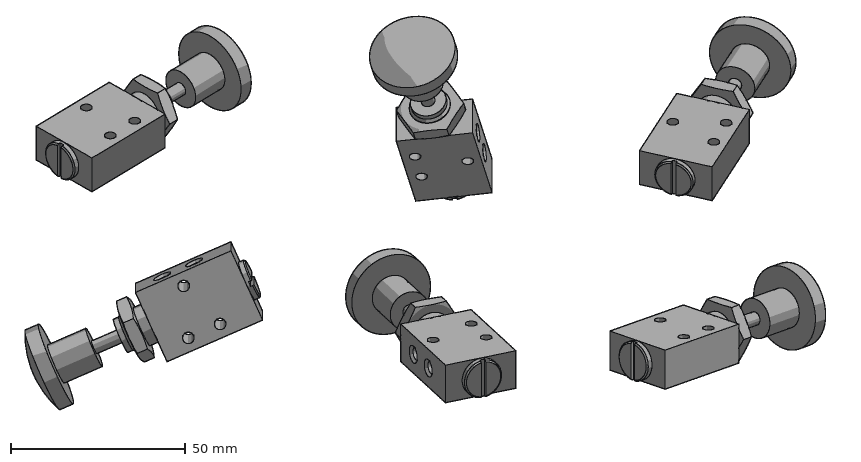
import cadquery as cq
import math


plug_length = 1.9
block_length = 30.0
neck_length = 7.15
neck_chamfer_length = 0.75
collar_length = 1.65
rod_length = 8.35
stem_length = 12.0
rim_length = 4.2
total_length = 68.9

block_width = 22.3
block_height = 12.0
barrel_diameter = 12.0
collar_diameter = 10.5
rod_diameter = 4.0
knob_diameter = 25.0

plug_diameter = 11.8
plug_face_diameter = 10.9
plug_chamfer_length = 0.4
slot_width = 1.45
slot_depth = 1.0

hole_diameter = 3.3
hole_offset = 7.2
hole_spacing = 10.0
hole_pair_middle = 18.5
port_diameter = 3.7
port_mouth_diameter = 5.3
port_chamfer_depth = (port_mouth_diameter - port_diameter) / 2
port_depth = 4.0

nut_start = 34.9
nut_thickness = 4.0
nut_across_flats = 17.0
nut_face_diameter = 16.7
nut_chamfer_angle = 15.0

block_end = plug_length + block_length
neck_end = block_end + neck_length
collar_start = neck_end + neck_chamfer_length
collar_end = collar_start + collar_length
rod_end = collar_end + rod_length
stem_end = rod_end + stem_length
rim_end = stem_end + rim_length
hole_stations = [hole_pair_middle - hole_spacing / 2, hole_pair_middle + hole_spacing / 2]


def cylinder(diameter, start, end):
    """Solid cylinder on the Y axis between two stations."""
    plane = cq.Workplane("XZ", origin=(0, start, 0))
    return plane.circle(diameter / 2).extrude(start - end)


def make_block():
    """Rectangular valve block with mounting holes and countersunk ports."""
    block_middle = plug_length + block_length / 2
    block = cq.Workplane("XY").box(block_width, block_length, block_height)
    block = block.translate((0, block_middle, 0))

    hole_points = [(-hole_offset, hole_pair_middle)]
    hole_points += [(hole_offset, y) for y in hole_stations]
    holes = cq.Workplane("XY").pushPoints(hole_points).circle(hole_diameter / 2)
    block = block.cut(holes.extrude(block_height / 2, both=True))

    for y in hole_stations:
        block = block.cut(make_port_cutter(y))
    return block


def make_port_cutter(station):
    """Blind bore with a conical mouth, entering the block from its -X side."""
    profile = [
        (0, 0),
        (0, port_mouth_diameter / 2),
        (port_chamfer_depth, port_diameter / 2),
        (port_depth, port_diameter / 2),
        (port_depth, 0),
    ]
    cutter = cq.Workplane("XY").polyline(profile).close().revolve(360, (0, 0, 0), (1, 0, 0))
    return cutter.translate((-block_width / 2, station, 0))


def make_plug():
    """Chamfered end plug with a screwdriver slot running along Z."""
    profile = [
        (0, 0),
        (plug_face_diameter / 2, 0),
        (plug_diameter / 2, plug_chamfer_length),
        (plug_diameter / 2, plug_length),
        (0, plug_length),
    ]
    plug = cq.Workplane("XY").polyline(profile).close().revolve(360, (0, 0, 0), (0, 1, 0))
    slot = cq.Workplane("XY").box(slot_width, slot_depth, plug_diameter)
    return plug.cut(slot.translate((0, slot_depth / 2, 0)))


def make_neck():
    """Neck that carries the nut, tapering to a narrower collar."""
    profile = [
        (0, block_end),
        (barrel_diameter / 2, block_end),
        (barrel_diameter / 2, neck_end),
        (collar_diameter / 2, collar_start),
        (collar_diameter / 2, collar_end),
        (0, collar_end),
    ]
    return cq.Workplane("XY").polyline(profile).close().revolve(360, (0, 0, 0), (0, 1, 0))


def make_knob():
    """Knob with a cylindrical stem, a flat rim and a domed end."""
    knob_radius = knob_diameter / 2
    dome_height = total_length - rim_end
    dome_radius = (knob_radius**2 + dome_height**2) / (2 * dome_height)
    dome_centre = total_length - dome_radius
    half_angle = math.asin(knob_radius / dome_radius) / 2
    dome_middle = (
        dome_radius * math.sin(half_angle),
        dome_centre + dome_radius * math.cos(half_angle),
    )
    head = (
        cq.Workplane("XY")
        .moveTo(0, stem_end)
        .lineTo(knob_radius, stem_end)
        .lineTo(knob_radius, rim_end)
        .threePointArc(dome_middle, (0, total_length))
        .close()
        .revolve(360, (0, 0, 0), (0, 1, 0))
    )
    return head.union(cylinder(barrel_diameter, rod_end, stem_end))


def make_nut():
    """Hexagonal nut with flats facing Z, both faces chamfered, bored to fit the neck."""
    nut_end = nut_start + nut_thickness
    corner_radius = nut_across_flats / 2 / math.cos(math.pi / 6)
    face_radius = nut_face_diameter / 2
    chamfer_drop = (corner_radius - face_radius) * math.tan(math.radians(nut_chamfer_angle))

    plane = cq.Workplane("XZ", origin=(0, nut_start, 0))
    hexagon = plane.polygon(6, 2 * corner_radius).extrude(-nut_thickness)
    envelope_profile = [
        (0, nut_start),
        (face_radius, nut_start),
        (corner_radius, nut_start + chamfer_drop),
        (corner_radius, nut_end - chamfer_drop),
        (face_radius, nut_end),
        (0, nut_end),
    ]
    envelope = cq.Workplane("XY").polyline(envelope_profile).close()
    envelope = envelope.revolve(360, (0, 0, 0), (0, 1, 0))
    return hexagon.intersect(envelope).cut(cylinder(barrel_diameter, nut_start, nut_end))


def make_housing():
    """One solid: slotted plug, block, neck and hexagonal nut."""
    return make_block().union(make_plug()).union(make_neck()).union(make_nut())


def make_plunger():
    """One solid: the knob and its rod, which meets the collar face of the housing."""
    return make_knob().union(cylinder(rod_diameter, collar_end, rod_end))


housing = make_housing()
plunger = make_plunger()
result = cq.Compound.makeCompound([housing.val(), plunger.val()])